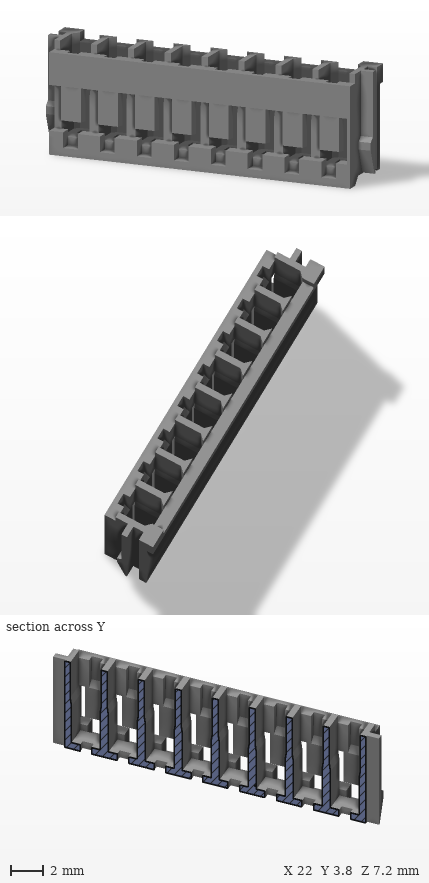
import cadquery as cq


overall_length = 22.0
overall_depth = 3.8
overall_height = 7.2

body_length = 20.37
rear_face_y = 3.32
front_wall = 0.8
front_wall_top = 6.6
rear_lip_bottom = 6.0
underside_z = 0.53
bottom_ramp_y = 1.25

cavity_count = 8
first_to_last_cavity = 17.5
pitch = first_to_last_cavity / (cavity_count - 1)
divider_top = 0.42
divider_bottom = 0.6
divider_rear = 1.17
cavity_width_top = pitch - divider_top
cavity_width_bottom = pitch - divider_bottom
cavity_rear_width = pitch - divider_rear
cavity_taper_top = 4.49
cavity_taper_bottom = 3.85
cavity_rear_y = 3.01
cavity_floor_z = 1.05
pin_hole_width = 0.75
pin_hole_depth = 0.8
pin_hole_y = 2.2

rear_ledge_z = 6.6
rear_ledge_length = 18.88

window_bottom = 1.55
window_top = 4.49
window_end_wall = 0.22
flap_width = cavity_rear_width
flap_front_y = 0.09
flap_bottom_front = 2.27
flap_bottom_rear = 2.18
notch_width = 1.0
slot_width = pin_hole_width
slot_front_y = 0.33
slot_ramp_y = 0.4

flange_length = 21.55
flange_front_y = 2.8
flange_bevel = 0.1
rib_front_y = 1.67
rib_rear_y = 2.07
bump_front_y = 1.35
bump_shoulder_z = 3.0
bump_top_z = 2.7
bump_bottom_z = 2.2
rib_foot_y = 1.94
rib_foot_z = 0.57

cavity_centres = [(i - (cavity_count - 1) / 2) * pitch for i in range(cavity_count)]


def box(x_min, x_max, y_min, y_max, z_min, z_max):
    size = (x_max - x_min, y_max - y_min, z_max - z_min)
    return cq.Workplane("XY").box(*size, centered=False).translate((x_min, y_min, z_min))


def side_prism(outline, width, x_centre=0.0):
    """Extrude a (Y, Z) outline along X, centred on x_centre."""
    prism = cq.Workplane("YZ").polyline(outline).close().extrude(width / 2, both=True)
    return prism.translate((x_centre, 0, 0))


def make_body():
    """Main block with the stepped top, the rear lip and the ramped underside."""
    outline = [
        (0, 0),
        (front_wall, 0),
        (bottom_ramp_y, underside_z),
        (rear_face_y, underside_z),
        (rear_face_y, rear_lip_bottom),
        (overall_depth, rear_lip_bottom),
        (overall_depth, overall_height),
        (front_wall, overall_height),
        (front_wall, front_wall_top),
        (0, front_wall_top),
    ]
    return side_prism(outline, body_length)


def make_flanges():
    """Rear plate, bevelled along its lower front edge, that stands out past both ends of the body."""
    outline = [
        (flange_front_y, underside_z + flange_bevel),
        (flange_front_y + flange_bevel, underside_z),
        (rear_face_y, underside_z),
        (rear_face_y, rear_lip_bottom),
        (overall_depth, rear_lip_bottom),
        (overall_depth, overall_height),
        (flange_front_y, overall_height),
    ]
    return side_prism(outline, flange_length)


def make_end_ribs():
    """Upright rib with a latch bump, running through to both ends."""
    outline = [
        (rib_rear_y, rib_foot_z),
        (rib_rear_y, overall_height),
        (rib_front_y, overall_height),
        (rib_front_y, bump_shoulder_z),
        (bump_front_y, bump_top_z),
        (bump_front_y, bump_bottom_z),
        (rib_foot_y, rib_foot_z),
    ]
    return side_prism(outline, overall_length)


def make_cavity():
    """Open-topped cavity with bevelled rear corners and walls that thicken lower down."""
    half_top = cavity_width_top / 2
    half_bottom = cavity_width_bottom / 2
    half_rear = cavity_rear_width / 2
    bevel_y = cavity_rear_y - (half_top - half_rear)
    plan = [
        (-half_top, front_wall),
        (half_top, front_wall),
        (half_top, bevel_y),
        (half_rear, cavity_rear_y),
        (-half_rear, cavity_rear_y),
        (-half_top, bevel_y),
    ]
    section = [
        (-half_bottom, cavity_floor_z),
        (half_bottom, cavity_floor_z),
        (half_bottom, cavity_taper_bottom),
        (half_top, cavity_taper_top),
        (half_top, overall_height),
        (-half_top, overall_height),
        (-half_top, cavity_taper_top),
        (-half_bottom, cavity_taper_bottom),
    ]
    plan_prism = cq.Workplane("XY").polyline(plan).close().extrude(overall_height)
    section_prism = cq.Workplane("XZ").polyline(section).close().extrude(-overall_depth)
    return plan_prism.intersect(section_prism)


def make_pin_hole():
    half_x = pin_hole_width / 2
    half_y = pin_hole_depth / 2
    return box(-half_x, half_x, pin_hole_y - half_y, pin_hole_y + half_y, 0, cavity_floor_z)


def make_notch():
    half = notch_width / 2
    return box(-half, half, 0, front_wall, underside_z, window_bottom)


def make_window():
    """Front opening, open at the -X end and closed by a thin wall at the +X end."""
    half = body_length / 2
    return box(-half, half - window_end_wall, 0, front_wall, window_bottom, window_top)


def make_flap(x_centre):
    """Tongue hanging from the front band in front of a cavity."""
    outline = [
        (flap_front_y, window_top),
        (flap_front_y, flap_bottom_front),
        (front_wall, flap_bottom_rear),
        (front_wall, window_top),
    ]
    return side_prism(outline, flap_width, x_centre)


def make_slot():
    """Groove in the back of the front band, with a leaning wall and a 45 degree ramp down into the cavity."""
    outline = [
        (front_wall, window_top),
        (front_wall, front_wall_top),
        (slot_front_y, front_wall_top),
        (slot_ramp_y, window_top + front_wall - slot_ramp_y),
    ]
    return side_prism(outline, slot_width)


def make_rear_ledge():
    half = rear_ledge_length / 2
    return box(-half, half, cavity_rear_y, overall_depth, rear_ledge_z, overall_height)


result = make_body().union(make_flanges()).union(make_end_ribs())
result = result.cut(make_window()).cut(make_rear_ledge())

cell_cut = make_cavity().union(make_pin_hole()).union(make_notch()).union(make_slot())
for centre in cavity_centres:
    result = result.union(make_flap(centre))
    result = result.cut(cell_cut.translate((centre, 0, 0)))